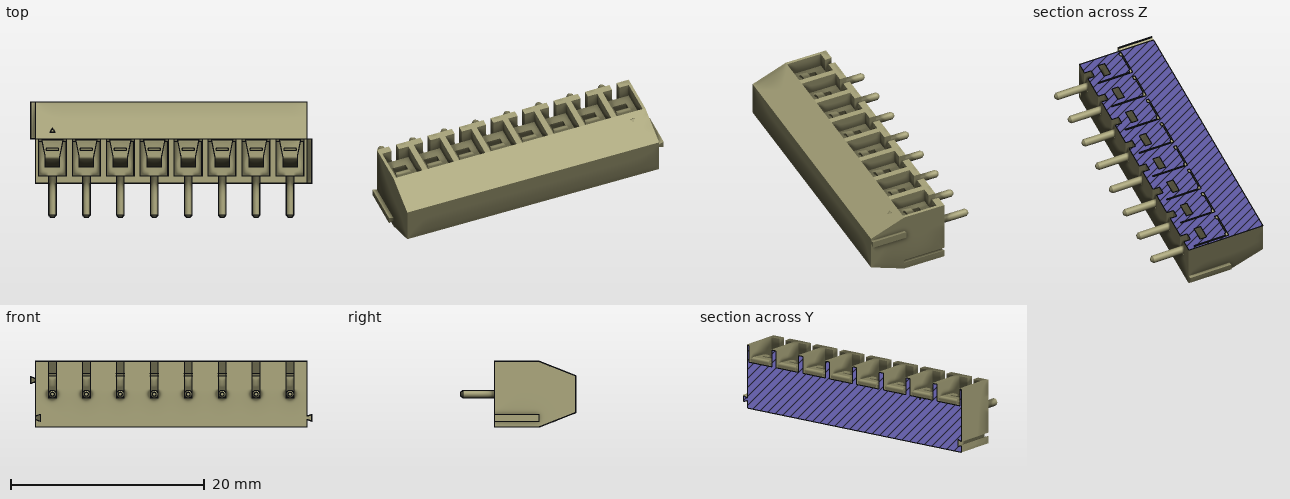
import cadquery as cq
import math


positions = 8
pitch = 3.5
housing_length = positions * pitch
housing_depth = 8.4
housing_height = 6.8
slope_depth = 3.8
slope_drop = 1.5
left_end = -housing_length / 2
right_end = housing_length / 2
front_face = -housing_depth

dovetail_reach = 0.5
dovetail_neck = 0.35
dovetail_head = 0.73
upper_dovetail_z = 4.85
lower_dovetail_z = 0.96

pocket_width = 2.9
front_wall = 0.75
pocket_back = -slope_depth
pocket_front = front_face + front_wall
pocket_depth = 1.5
pocket_floor = housing_height - pocket_depth

back_gap = 0.25
side_gap = 0.07
gap_depth = 0.3
gap_floor = pocket_floor - gap_depth

tongue_height = 0.24
tongue_top = pocket_floor + tongue_height
tongue_clearance = 0.1
tongue_back = pocket_back - tongue_clearance
tongue_back_width = 2.2
tongue_front_width = 1.5
tongue_back_radius = 0.25
roll_offset = 1.83
roll_start = pocket_back - roll_offset

slit_length = 1.3
slit_width = 0.28
slit_depth = 0.3
slit_offset = 1.08
slit_y = pocket_back - slit_offset

window_length = 1.05
window_front = roll_start - window_length
roll_radius = 0.3
window_wall_angle = math.radians(70)

pin_diameter = 0.8
pin_length = 3.5
pin_z = housing_height / 2
pin_tip_length = 0.25
pin_tip_inset = 0.2
slot_width = pin_diameter
slot_bottom = pin_z - pin_diameter / 2

mark_width = 0.55
mark_length = 0.45
mark_front = -3.15
mark_depth = 0.1


def box_between(x_range, y_range, z_range):
    """Box given by its limits along each axis."""
    size = [limits[1] - limits[0] for limits in (x_range, y_range, z_range)]
    corner = (x_range[0], y_range[0], z_range[0])
    return cq.Workplane("XY").box(*size, centered=False).translate(corner)


def housing_body():
    """Bar with both back edges sloped."""
    outline = [
        (front_face, 0),
        (-slope_depth, 0),
        (0, slope_drop),
        (0, housing_height - slope_drop),
        (-slope_depth, housing_height),
        (front_face, housing_height),
    ]
    return cq.Workplane("YZ").polyline(outline).close().extrude(housing_length).translate((left_end, 0, 0))


def dovetail(root_x, direction, z, y_start, y_end):
    """Dovetail bar along Y, widening from its root in the given X direction."""
    head_x = root_x + direction * dovetail_reach
    outline = [
        (root_x, z - dovetail_neck / 2),
        (head_x, z - dovetail_head / 2),
        (head_x, z + dovetail_head / 2),
        (root_x, z + dovetail_neck / 2),
    ]
    section = cq.Workplane("XZ", origin=(0, y_start, 0)).polyline(outline).close()
    return section.extrude(y_start - y_end)


def pocket_space(x):
    """Open space above the pocket floor, with the clearance gaps around the floor block."""
    left = x - pocket_width / 2
    right = x + pocket_width / 2
    space = box_between((left, right), (pocket_front, pocket_back), (pocket_floor, housing_height))
    behind = box_between((left, right), (pocket_back - back_gap, pocket_back), (gap_floor, pocket_floor))
    beside = box_between((right - side_gap, right), (pocket_front, pocket_back), (gap_floor, pocket_floor))
    return space.union(behind).union(beside)


def tongue(x):
    """Raised tongue, narrowing toward the window and rounded over at its back end."""
    half_back = tongue_back_width / 2
    half_front = tongue_front_width / 2
    outline = [
        (x - half_back, tongue_back),
        (x + half_back, tongue_back),
        (x + half_front, roll_start),
        (x + half_front, window_front),
        (x - half_front, window_front),
        (x - half_front, roll_start),
    ]
    base = cq.Workplane("XY", origin=(0, 0, gap_floor)).polyline(outline).close()
    block = base.extrude(tongue_top - gap_floor)
    return block.faces(">Y").edges(">Z").fillet(tongue_back_radius)


def slit_space(x):
    """Round-ended slit sunk into the top of the tongue."""
    slit = cq.Workplane("XY", origin=(x, slit_y, tongue_top)).slot2D(slit_length, slit_width)
    return slit.extrude(-slit_depth)


def roll_point(angle):
    """Point (Y, Z) on the rolled front of the tongue, at an angle from its flat top."""
    return (
        roll_start - roll_radius * math.sin(angle),
        tongue_top - roll_radius * (1 - math.cos(angle)),
    )


def window_space(x):
    """Wire window in front of the rolled tongue, deepening toward its front edge."""
    roll_end = roll_point(window_wall_angle)
    window_bottom = roll_end[1] - (roll_end[0] - window_front) * math.tan(window_wall_angle)
    profile = (
        cq.Workplane("YZ", origin=(x - tongue_front_width / 2, 0, 0))
        .moveTo(roll_start, tongue_top)
        .threePointArc(roll_point(window_wall_angle / 2), roll_end)
        .lineTo(window_front, window_bottom)
        .lineTo(window_front, tongue_top)
        .close()
    )
    return profile.extrude(tongue_front_width)


def front_slot(x):
    """Slot through the front wall, from the top down to the underside of the pin."""
    half = slot_width / 2
    return box_between((x - half, x + half), (front_face, pocket_front), (slot_bottom, housing_height))


def pin(x):
    """Round pin with a tapered tip, rooted in the back of the front slot."""
    length = front_wall + pin_length
    shaft = cq.Workplane("XZ", origin=(x, pocket_front, pin_z)).circle(pin_diameter / 2).extrude(length)
    return shaft.faces("<Y").chamfer(pin_tip_length, pin_tip_inset)


def first_position_mark(x):
    """Triangle engraved in the upper slope, pointing to the back."""
    slope_rate = slope_drop / slope_depth
    floor_front = housing_height - slope_rate * (slope_depth + mark_front) - mark_depth
    outline = [(-mark_width / 2, 0), (mark_width / 2, 0), (0, mark_length)]
    slope_normal = (0, slope_rate, 1)
    slope_plane = cq.Plane(origin=(x, mark_front, floor_front), xDir=(1, 0, 0), normal=slope_normal)
    return cq.Workplane(slope_plane).polyline(outline).close().extrude(2 * mark_depth)


result = housing_body()
result = result.cut(dovetail(left_end, 1, lower_dovetail_z, -slope_depth, front_face))
result = result.union(dovetail(left_end, -1, upper_dovetail_z, 0, -slope_depth))
result = result.union(dovetail(right_end, 1, lower_dovetail_z, -slope_depth, front_face))

first_x = left_end + pitch / 2
for index in range(positions):
    position_x = first_x + index * pitch
    result = result.cut(pocket_space(position_x))
    result = result.union(tongue(position_x))
    result = result.cut(slit_space(position_x))
    result = result.cut(window_space(position_x))
    result = result.cut(front_slot(position_x))
    result = result.union(pin(position_x))

result = result.cut(first_position_mark(first_x))